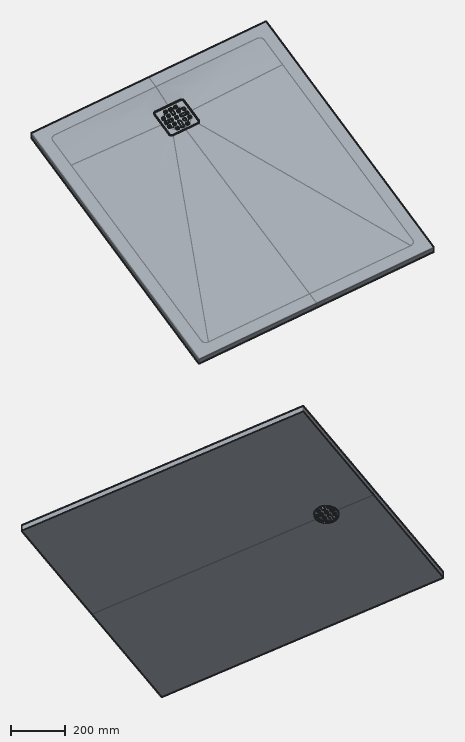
import cadquery as cq
import math

LENGTH = 1200.0
WIDTH = 1000.0
HEIGHT = 30.0
EDGE_RADIUS = 1.5

RIM = 50.0
BASIN_RADIUS = 19.0
FALL = 15.0

DRAIN_X = -400.0
DRAIN_SIDE = 126.0
DRAIN_RADIUS = 10.0
WASTE_DIAMETER = 90.0
FUNNEL_DIAMETER = 103.0
FUNNEL_DEPTH = 1.0

GRATE_THICKNESS = 3.0
GRATE_DROP = 1.0
GRATE_GAP = 1.8
SLOT_WIDTH = 10.5
SLOT_RADIUS = 1.5
SLOT_PITCH = 22.0

FLOOR_Z = HEIGHT - FALL
RECESS_DEPTH = GRATE_DROP + GRATE_THICKNESS
SEAT_Z = FLOOR_Z - RECESS_DEPTH
BASIN_X = LENGTH / 2 - RIM
BASIN_Y = WIDTH / 2 - RIM
DRAIN_HALF = DRAIN_SIDE / 2


def line(start, end):
    return cq.Edge.makeLine(cq.Vector(*start), cq.Vector(*end))


def corner_arc(x_sign, x_side, y_side, radius, z):
    """Quarter arc that rounds a corner on the +Y side, from the X side to the Y side."""
    centre_x = x_side - x_sign * radius
    centre_y = y_side - radius
    reach = radius * math.sqrt(0.5)
    return cq.Edge.makeThreePointArc(
        cq.Vector(x_side, centre_y, z),
        cq.Vector(centre_x + x_sign * reach, centre_y + reach, z),
        cq.Vector(centre_x, y_side, z),
    )


def half_outline(left, right, side, radius, z):
    """Edges of the +Y half of a rounded rectangle, from the left side round to the right side.

    The long edge is split at the drain centre, where two floor surfaces meet.
    """
    straight = side - radius
    return [
        line((left, 0, z), (left, straight, z)),
        corner_arc(-1, left, side, radius, z),
        line((left + radius, side, z), (DRAIN_X, side, z)),
        line((DRAIN_X, side, z), (right - radius, side, z)),
        corner_arc(1, right, side, radius, z),
        line((right, straight, z), (right, 0, z)),
    ]


def half_basin():
    """Hollow of the basin for y >= 0: flat lid at rim height, floor falling to the drain."""
    upper = half_outline(-BASIN_X, BASIN_X, BASIN_Y, BASIN_RADIUS, HEIGHT)
    lower = half_outline(DRAIN_X - DRAIN_HALF, DRAIN_X + DRAIN_HALF, DRAIN_HALF, DRAIN_RADIUS, FLOOR_Z)

    drain_left = (DRAIN_X - DRAIN_HALF, 0, FLOOR_Z)
    drain_right = (DRAIN_X + DRAIN_HALF, 0, FLOOR_Z)
    basin_left = (-BASIN_X, 0, HEIGHT)
    basin_right = (BASIN_X, 0, HEIGHT)
    left_seam = line(basin_left, drain_left)
    cross_line = line((DRAIN_X, BASIN_Y, HEIGHT), (DRAIN_X, DRAIN_HALF, FLOOR_Z))
    diagonal = line(
        (BASIN_X, BASIN_Y - BASIN_RADIUS, HEIGHT),
        (DRAIN_X + DRAIN_HALF, DRAIN_HALF - DRAIN_RADIUS, FLOOR_Z),
    )
    right_seam = line(basin_right, drain_right)

    left_floor = cq.Face.makeNSidedSurface([left_seam, *upper[:3], cross_line, *lower[:3]], [])
    side_floor = cq.Face.makeNSidedSurface([cross_line, *upper[3:5], diagonal, *lower[3:5]], [])
    right_floor = cq.Face.makeFromWires(
        cq.Wire.assembleEdges([diagonal, upper[5], right_seam, lower[5]])
    )

    lid_edge = line(basin_left, basin_right)
    drain_edge = line(drain_left, drain_right)
    lid = cq.Face.makeFromWires(cq.Wire.assembleEdges([*upper, lid_edge]))
    drain_floor = cq.Face.makeFromWires(cq.Wire.assembleEdges([*lower, drain_edge]))
    middle = cq.Face.makeFromWires(
        cq.Wire.assembleEdges([lid_edge, right_seam, drain_edge, left_seam])
    )
    faces = [left_floor, side_floor, right_floor, lid, drain_floor, middle]
    return cq.Workplane(cq.Solid.makeSolid(cq.Shell.makeShell(faces)).fix())


def half_tray():
    """The y >= 0 half of the tray, without its drain."""
    block = (
        cq.Workplane("XY")
        .box(LENGTH, WIDTH, HEIGHT, centered=(True, True, False))
        .edges("|Z")
        .fillet(EDGE_RADIUS)
        .faces(">Z")
        .edges()
        .fillet(EDGE_RADIUS)
    )
    half_space = cq.Workplane("XY").box(LENGTH, WIDTH, HEIGHT, centered=(True, False, False))
    return block.intersect(half_space).cut(half_basin())


def drain_plate(side, radius, bottom, thickness):
    """Square plate with rounded corners, centred on the drain."""
    return (
        cq.Workplane("XY", origin=(DRAIN_X, 0, bottom))
        .rect(side, side)
        .extrude(thickness)
        .edges("|Z")
        .fillet(radius)
    )


def make_tray():
    half = half_tray()
    tray = half.union(half.mirror("XZ"), clean=False)

    recess = drain_plate(DRAIN_SIDE, DRAIN_RADIUS, SEAT_Z, RECESS_DEPTH)
    funnel_base = cq.Vector(DRAIN_X, 0, SEAT_Z - FUNNEL_DEPTH)
    funnel = cq.Workplane(
        cq.Solid.makeCone(WASTE_DIAMETER / 2, FUNNEL_DIAMETER / 2, FUNNEL_DEPTH, pnt=funnel_base)
    )
    waste = cq.Workplane("XY", origin=(DRAIN_X, 0, 0)).circle(WASTE_DIAMETER / 2).extrude(SEAT_Z)
    for hollow in (recess, funnel, waste):
        tray = tray.cut(hollow, clean=False)
    return tray


def slot_cutter(x, y, size_x, size_y):
    """Rectangular bar through the grate, placed relative to the drain centre."""
    return (
        cq.Workplane("XY", origin=(DRAIN_X + x, y, SEAT_Z))
        .rect(size_x, size_y)
        .extrude(GRATE_THICKNESS)
        .edges("|Z")
        .fillet(SLOT_RADIUS)
    )


def make_grate():
    """Grate with a cross of long slots round a square hole, and square holes between the arms."""
    side = DRAIN_SIDE - 2 * GRATE_GAP
    grate = drain_plate(side, DRAIN_RADIUS - GRATE_GAP, SEAT_Z, GRATE_THICKNESS)
    near = SLOT_PITCH
    far = 2 * SLOT_PITCH
    arm_length = SLOT_PITCH + SLOT_WIDTH
    arm_centre = (near + far) / 2

    cutters = [slot_cutter(0, 0, SLOT_WIDTH, SLOT_WIDTH)]
    for sign in (-1, 1):
        cutters.append(slot_cutter(sign * arm_centre, 0, arm_length, SLOT_WIDTH))
        cutters.append(slot_cutter(0, sign * arm_centre, SLOT_WIDTH, arm_length))
    for x_sign in (-1, 1):
        for y_sign in (-1, 1):
            for x, y in ((near, near), (near, far), (far, near)):
                cutters.append(slot_cutter(x_sign * x, y_sign * y, SLOT_WIDTH, SLOT_WIDTH))
    for cutter in cutters:
        grate = grate.cut(cutter)
    return grate


tray = make_tray()
grate = make_grate()
result = cq.Compound.makeCompound([tray.solids().val(), grate.solids().val()])